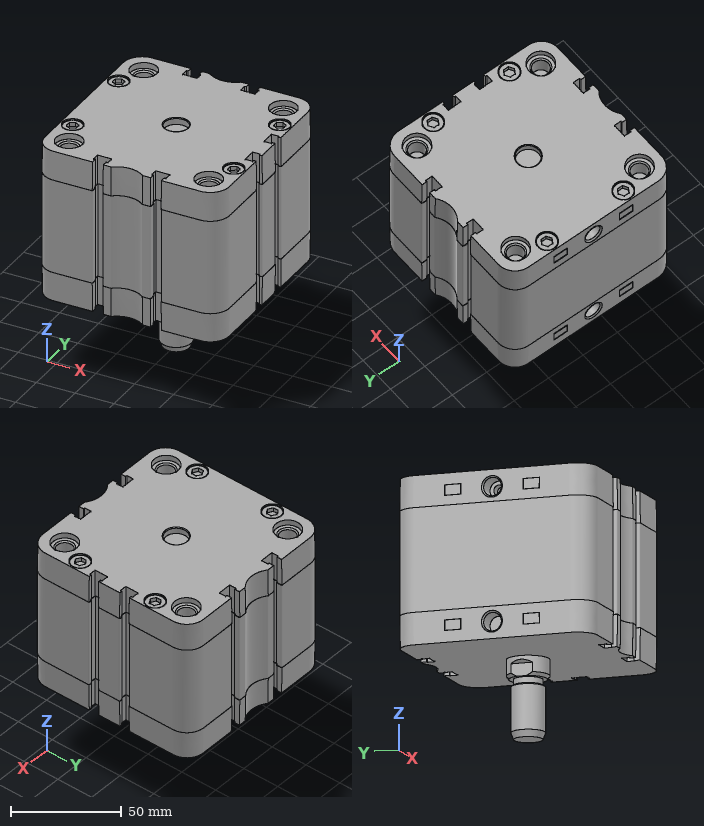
import cadquery as cq
import math

body_side = 95.5
body_half = body_side / 2
corner_radius = 10.0
cap_height = 15.1
barrel_height = 48.7
cap_draft = 0.9
barrel_top = cap_height + barrel_height
body_height = barrel_top + cap_height

mouth_edge_radius = 0.7

slot_mouth_width = 5.2
slot_undercut_width = 7.0
cap_slot_clearance = 0.17

face_slot_spacing = 29.9
face_slot_depth = 6.7
face_slot_lip = 3.0

side_slot_spacing = 18.1
side_slot_depth = 5.5
side_slot_lip = 1.6

groove_diameter = 25.0
groove_width = 16.0

mount_spacing = 71.9
mount_bore_diameter = 13.5
mount_bore_depth = 3.0
mount_thread_diameter = 8.6
mount_chamfer_diameter = 10.0
mount_thread_depth = 11.6

screw_spacing_x = 83.0
screw_spacing_y = 44.3
screw_bore_diameter = 10.3
screw_head_diameter = 9.7
screw_gap_depth = 0.9
screw_head_recess = 0.5
hex_flats = 5.0
hex_corners = hex_flats / math.cos(math.radians(30))
hex_depth = 2.5

centre_diameter = 12.0
centre_chamfer_diameter = 12.8
centre_depth = 3.5

port_diameter = 8.6
port_chamfer_diameter = 10.3
port_offset = 8.0
port_depth = 9.3
air_passage_diameter = 5.0
air_passage_depth = 4.6

label_width = 7.8
label_height = 4.9
label_depth = 0.2
label_spacing = 38.0

rod_diameter = 20.0
rod_collar_length = 9.2
rod_flats = 17.0
flat_start = 1.7
collar_chamfer = 1.2
collar_chamfer_length = 1.6
relief_diameter = 13.5
thread_diameter = 16.0
thread_start = 12.8
thread_lead_in = 0.8
rod_end = 37.1
tip_chamfer_length = 3.1


def body_outline():
    """Rounded square with a shallow round groove in its front and back sides."""
    groove_radius = groove_diameter / 2
    groove_rise = math.sqrt(groove_radius**2 - (groove_width / 2) ** 2)
    groove_centre = body_half + groove_rise
    return (
        cq.Sketch()
        .rect(body_side, body_side).vertices().fillet(corner_radius).reset()
        .push([(0, groove_centre), (0, -groove_centre)]).circle(groove_radius, mode="s")
    )


def slot_cutter(depth, lip, clearance):
    """T-slot along the whole body height, opening at Y = 0 and running down into -Y."""
    mouth = slot_mouth_width + 2 * clearance
    undercut = slot_undercut_width + 2 * clearance
    neck = cq.Workplane().box(mouth, 2 * lip, body_height, centered=(True, True, False))
    pocket = cq.Workplane().box(undercut, depth - lip, body_height, centered=(True, False, False))
    return neck.union(pocket.translate((0, -depth, 0)))


def cut_slots(body, clearance=0):
    """Two T-slots in each of the front, back and +X faces."""
    face_slot = slot_cutter(face_slot_depth, face_slot_lip, clearance).translate((0, body_half, 0))
    side_slot = slot_cutter(side_slot_depth, side_slot_lip, clearance).translate((0, body_half, 0))
    for slot, spacing, angle in (
        (face_slot, face_slot_spacing, 0),
        (face_slot, face_slot_spacing, 180),
        (side_slot, side_slot_spacing, -90),
    ):
        for x in (-spacing / 2, spacing / 2):
            body = body.cut(slot.translate((x, 0, 0)).rotate((0, 0, 0), (0, 0, 1), angle))
    return body


def make_barrel():
    """Extruded profile with the long outer edges of its slots and grooves rounded."""
    corner_start = body_half - corner_radius
    base = cq.Workplane(origin=(0, 0, cap_height))
    barrel = cut_slots(base.placeSketch(body_outline()).extrude(barrel_height))

    def is_mouth_edge(edge):
        place = edge.Center()
        across, out = sorted((abs(place.x), abs(place.y)))
        return out > body_half - 0.01 and across < corner_start - 0.01

    return barrel.edges("|Z").filter(is_mouth_edge).fillet(mouth_edge_radius)


def cut_port(cap, port_z, passage):
    """Chamfered port in the -X face, with an optional narrow air passage at its end."""
    face = cq.Plane(origin=(-body_half, 0, port_z), xDir=(0, 1, 0), normal=(1, 0, 0))
    chamfer = (port_chamfer_diameter - port_diameter) / 2
    mouth = cq.Workplane(face).circle(port_chamfer_diameter / 2).workplane(offset=chamfer)
    cap = cap.cut(mouth.circle(port_diameter / 2).loft())
    cap = cap.cut(cq.Workplane(face).circle(port_diameter / 2).extrude(port_depth))
    if passage:
        length = port_depth + air_passage_depth
        cap = cap.cut(cq.Workplane(face).circle(air_passage_diameter / 2).extrude(length))
    return cap


def cut_labels(cap, port_z):
    """Shallow rectangular recesses on both sides of a port."""
    drafted_inset = (cap_height - port_offset) * math.tan(math.radians(cap_draft))
    for y in (-label_spacing / 2, label_spacing / 2):
        cap = cap.cut(
            cq.Workplane().box(2 * label_depth, label_width, label_height)
            .translate((-body_half + drafted_inset, y, port_z)))
    return cap


def blank_cap():
    """Cap with its joint face at Z = 0 and its drafted sides narrowing upwards."""
    cap = cq.Workplane().placeSketch(body_outline()).extrude(cap_height, taper=cap_draft)
    return cut_slots(cap, cap_slot_clearance)


def make_bearing_cap():
    cap = blank_cap().mirror("XY").translate((0, 0, cap_height))
    cap = cut_labels(cap, port_offset)
    return cut_port(cap, port_offset, passage=False)


def make_end_cap():
    cap = blank_cap().translate((0, 0, barrel_top))
    port_z = body_height - port_offset
    cap = cut_labels(cap, port_z)
    cap = cut_port(cap, port_z, passage=True)
    top = cq.Workplane(origin=(0, 0, body_height))

    cap = cap.cut(top.circle(centre_diameter / 2).extrude(-centre_depth))
    centre_chamfer = (centre_chamfer_diameter - centre_diameter) / 2
    rim = top.circle(centre_chamfer_diameter / 2).workplane(offset=-centre_chamfer)
    cap = cap.cut(rim.circle(centre_diameter / 2).loft())

    mounts = top.rect(mount_spacing, mount_spacing, forConstruction=True).vertices()
    cap = cap.cut(mounts.circle(mount_bore_diameter / 2).extrude(-mount_bore_depth))
    cap = cap.cut(mounts.circle(mount_thread_diameter / 2).extrude(-mount_thread_depth))
    mount_chamfer = (mount_chamfer_diameter - mount_thread_diameter) / 2
    cone = cq.Solid.makeCone(
        mount_chamfer_diameter / 2, mount_thread_diameter / 2, mount_chamfer,
        pnt=(0, 0, -mount_bore_depth), dir=(0, 0, -1))
    cap = cap.cut(mounts.eachpoint(lambda place: cone.moved(place)))

    screws = top.rect(screw_spacing_x, screw_spacing_y, forConstruction=True).vertices()
    cap = cap.cut(screws.circle(screw_bore_diameter / 2).extrude(-screw_head_recess))
    gap = screws.circle(screw_bore_diameter / 2).circle(screw_head_diameter / 2)
    cap = cap.cut(gap.extrude(-screw_gap_depth))
    socket = cq.Workplane().polygon(6, hex_corners).extrude(-hex_depth).val()
    socket = socket.rotate((0, 0, 0), (0, 0, 1), 30)
    return cap.cut(screws.eachpoint(lambda place: socket.moved(place)))


def make_rod():
    """Turned rod end hanging from the bearing cap, with two wrench flats across X."""
    rod_radius = rod_diameter / 2
    relief_radius = relief_diameter / 2
    thread_radius = thread_diameter / 2
    profile = [
        (0, 0), (rod_radius, 0),
        (rod_radius, -rod_collar_length + collar_chamfer_length),
        (rod_radius - collar_chamfer, -rod_collar_length),
        (relief_radius, -rod_collar_length),
        (relief_radius, -thread_start + thread_lead_in),
        (thread_radius, -thread_start),
        (thread_radius, -rod_end + tip_chamfer_length),
        (relief_radius, -rod_end), (0, -rod_end),
    ]
    rod = cq.Workplane("XZ").polyline(profile).close().revolve(360, (0, 0), (0, 1))

    flat = rod_flats / 2
    ramp_end = -flat_start - (rod_radius - flat)
    for side in (-1, 1):
        cutter = [
            (side * rod_radius, -flat_start), (side * flat, ramp_end),
            (side * flat, -rod_collar_length), (side * rod_radius, -rod_collar_length),
        ]
        rod = rod.cut(cq.Workplane("XZ").polyline(cutter).close().extrude(rod_radius, both=True))
    return rod


bearing_cap = make_bearing_cap()
barrel = make_barrel()
end_cap = make_end_cap()
piston_rod = make_rod()

result = cq.Compound.makeCompound([
    bearing_cap.val(), barrel.val(), end_cap.val(), piston_rod.val(),
])